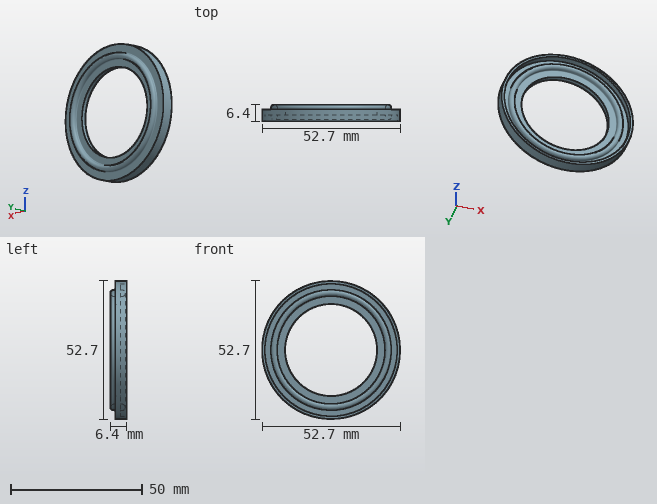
import cadquery as cq

outer_diameter = 52.7
lip_inner_diameter = 50.5
bore_diameter = 35.0
bead_outer_diameter = 45.9
bead_inner_diameter = 41.1
total_depth = 6.4
bead_height = 1.85
lip_depth = 2.6
bead_foot_fillet = 0.3

web_thickness = total_depth - bead_height - lip_depth
web_face = web_thickness / 2
web_center = 0.0
bead_crown_radius = (bead_outer_diameter - bead_inner_diameter) / 4
bead_center_radius = (bead_outer_diameter + bead_inner_diameter) / 4


def ring(outer, inner, y_start, depth):
    """Flat ring from y_start, extending toward +Y by depth."""
    return (
        cq.Workplane("XZ", origin=(0, y_start, 0))
        .circle(outer / 2)
        .circle(inner / 2)
        .extrude(-depth)
    )


def bead(side):
    """Round-topped bead with filleted feet; side is +1 for +Y or -1 for -Y."""
    inner_wall = bead_inner_diameter / 2
    outer_wall = bead_outer_diameter / 2
    foot = side * web_face
    fillet_top = side * (web_face + bead_foot_fillet)
    crown_start = side * (web_face + bead_height - bead_crown_radius)
    crown_top = side * (web_face + bead_height)
    fillet_mid = bead_foot_fillet * (1 - 0.5**0.5)
    fillet_mid_y = side * (web_face + fillet_mid)
    return (
        cq.Workplane("XY")
        .moveTo(inner_wall - bead_foot_fillet, web_center)
        .lineTo(inner_wall - bead_foot_fillet, foot)
        .threePointArc((inner_wall - fillet_mid, fillet_mid_y), (inner_wall, fillet_top))
        .lineTo(inner_wall, crown_start)
        .threePointArc((bead_center_radius, crown_top), (outer_wall, crown_start))
        .lineTo(outer_wall, fillet_top)
        .threePointArc((outer_wall + fillet_mid, fillet_mid_y), (outer_wall + bead_foot_fillet, foot))
        .lineTo(outer_wall + bead_foot_fillet, web_center)
        .close()
        .revolve(360, (0, 0, 0), (0, 1, 0))
    )


web = ring(outer_diameter, bore_diameter, -web_face, web_thickness)
lip = ring(outer_diameter, lip_inner_diameter, -web_face - lip_depth, lip_depth)

result = web.union(lip).union(bead(1)).union(bead(-1))